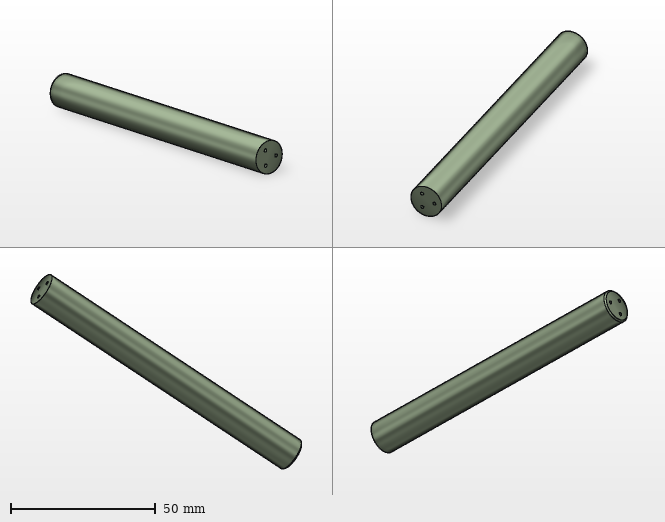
import cadquery as cq
import math

length = 110.0
diameter = 12.0
chamfer = 0.5

hole_count = 3
hole_diameter = 1.1
hole_circle_radius = 3.2
first_hole_angle = -6.0
helix_angle = 30.0

helix_pitch = math.pi * diameter / math.tan(math.radians(helix_angle))
twist_angle = 360 * length / helix_pitch


def make_bar():
    """Plain bar with one chamfered end."""
    return (
        cq.Workplane("YZ")
        .circle(diameter / 2)
        .extrude(length)
        .faces("<X")
        .edges()
        .chamfer(chamfer)
    )


def make_coolant_holes():
    """Round sections twisted about the bar axis over its full length."""
    return (
        cq.Workplane("YZ")
        .polarArray(hole_circle_radius, first_hole_angle, 360, hole_count)
        .circle(hole_diameter / 2)
        .twistExtrude(length, twist_angle)
    )


result = make_bar().cut(make_coolant_holes())